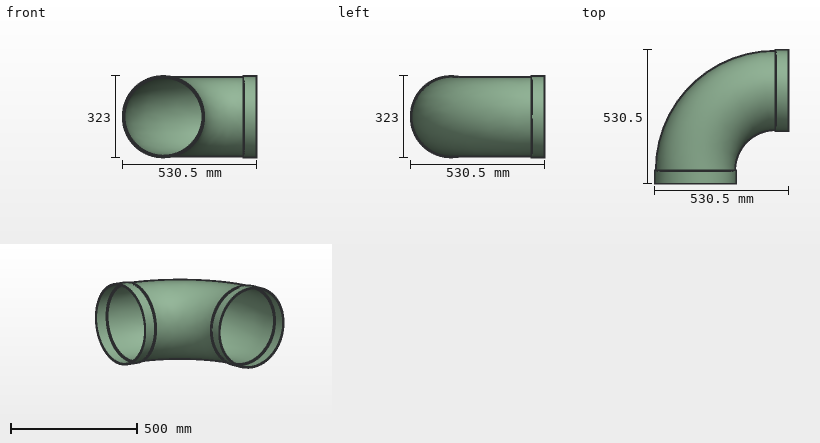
import cadquery as cq

overall_length = 530.5
pipe_diameter = 315.0
wall = 4.0
collar_length = 54.0

bore_diameter = pipe_diameter - 2 * wall
collar_diameter = pipe_diameter + 2 * wall
socket_diameter = pipe_diameter
taper_length = wall
bend_radius = overall_length - collar_length - collar_diameter / 2


def make_bend():
    """Quarter-torus pipe from the -X side round to the +Y side."""
    return (
        cq.Workplane("XZ")
        .center(-bend_radius, 0)
        .circle(pipe_diameter / 2)
        .circle(bore_diameter / 2)
        .revolve(90, (bend_radius, 0), (bend_radius, -1))
    )


def make_front_collar():
    """Collar from Y = 0 to the -Y end, with a tapered step at the bottom of its socket."""
    return (
        cq.Workplane("XY", origin=(-bend_radius, 0, 0))
        .moveTo(bore_diameter / 2, 0)
        .lineTo(collar_diameter / 2, 0)
        .lineTo(collar_diameter / 2, -collar_length)
        .lineTo(socket_diameter / 2, -collar_length)
        .lineTo(socket_diameter / 2, -taper_length)
        .close()
        .revolve(360, (0, 0), (0, 1))
    )


front_collar = make_front_collar()
right_collar = front_collar.rotate((0, 0, 0), (1, -1, 0), 180)

result = make_bend().union(front_collar).union(right_collar)